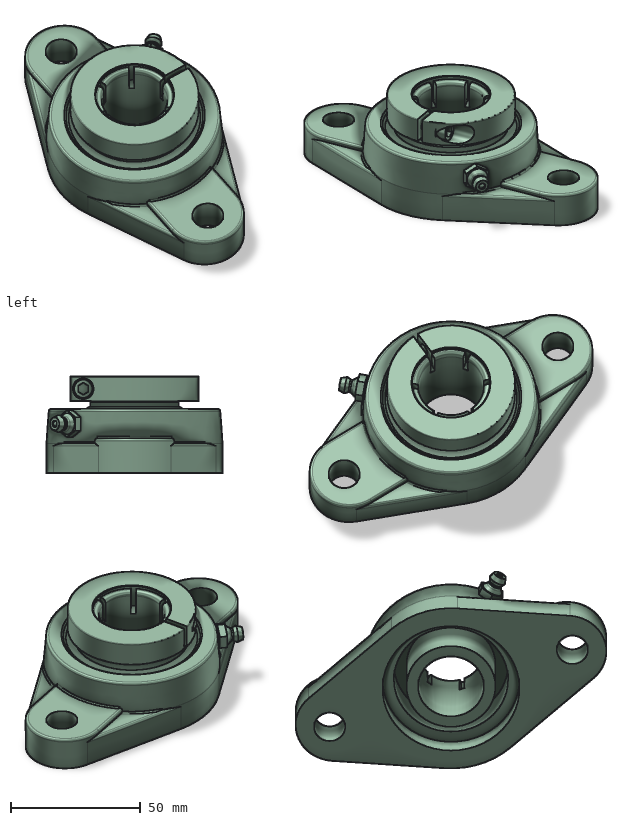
import cadquery as cq
import math

LENGTH = 125.0
HUB_R = 34.0
HUB_TOP_R = 33.0
HUB_TOP_Z = 24.8
LUG_R = 15.2
LUG_X = LENGTH / 2 - LUG_R
PAD_Z = 13.5
WEB_Z = 11.5
BOLT_X = 49.5
BOLT_D = 12.0
CAST_ROUND = 1.0
ROOT_ROUND = 0.8
MOUTH_CHAMFER = 0.8

SEAT_R = 55.1 / 2
BEARING_Z = 16.0
RING_HALF_WIDTH = 8.0
RING_FACE_R = 25.4
RING_FACE_DEPTH = 0.8
RING_BORE_R = 44.0 / 2
BORE_R = 25.4 / 2
SHOULDER_R = 34.2 / 2
SHOULDER_CHAMFER = 0.5
SLEEVE_R = 15.0
INNER_BOTTOM_Z = 1.8
INNER_TOP_Z = 35.9
BORE_ROUND = 1.8
SEAL_THICKNESS = 1.2
SHIELD_R = 20.8
SHIELD_Z = 24.9
LIP_R = 18.5
LIP_TOP_R = 17.4
LIP_TOP_Z = 25.6

SLOT_COUNT = 6
SLOT_WIDTH = 2.0
SLOT_FLOOR_Z = 25.6
SLOT_END_R = 15.8

COLLAR_R = 49.4 / 2
COLLAR_BOTTOM_Z = 27.8
COLLAR_TOP_Z = 37.2
COLLAR_ROUND = 0.2
COLLAR_BORE_CHAMFER = 0.2
SCREW_Y = 19.8
SCREW_Z = (COLLAR_BOTTOM_Z + COLLAR_TOP_Z) / 2
HEAD_D = 7.0
HEAD_LENGTH = 4.0
HEAD_X = -10.2
COUNTERBORE_D = 8.0
SHANK_D = 4.0
SHANK_LENGTH = 16.0
SOCKET_FLATS = 4.0
SOCKET_DEPTH = 2.0

NIPPLE_Z = 19.0
NIPPLE_ANGLE = 135.0
STEM_R = 3.0
STEM_START = 29.4
HEX_FLATS = 9.0
HEX_START = 33.8
HEX_END = 36.8
CONE_R = 4.1
CONE_END_R = 3.0
CONE_END = 38.2
NECK_R = 2.5
NECK_START = 39.0
NECK_END = 39.8
BULB_R = 3.2
BULB_AT = 41.2
TIP_R = 2.5
TIP_END = 43.5
BALL_R = 1.2
BALL_AT = 42.5


def sphere_r(z):
    """Radius of the spherical seat at height z."""
    return math.sqrt(SEAT_R ** 2 - (z - BEARING_Z) ** 2)


def revolved(points):
    """Solid of revolution about Z from (radius, z) points."""
    return cq.Workplane("XZ").polyline(points).close().revolve(360, (0, 0, 0), (0, 1, 0))


def web_outline():
    """Outline whose sloping edges are common tangents of the hub and lug circles."""
    sine = (HUB_R - LUG_R) / LUG_X
    cosine = math.sqrt(1 - sine ** 2)
    hub_x = HUB_R * sine
    hub_y = HUB_R * cosine
    lug_x = LUG_X + LUG_R * sine
    lug_y = LUG_R * cosine
    return (
        cq.Workplane("XY")
        .polyline([
            (-lug_x, lug_y), (-hub_x, hub_y), (hub_x, hub_y), (lug_x, lug_y),
            (lug_x, -lug_y), (hub_x, -hub_y), (-hub_x, -hub_y), (-lug_x, -lug_y),
        ])
        .close()
    )


def web():
    plate = web_outline().extrude(WEB_Z)
    sloping_edges = plate.faces(">Z").edges("not(|X or |Y)")
    return sloping_edges.fillet(CAST_ROUND)


def pads():
    """Raised strip with round ends that carries both bolt holes."""
    strip = cq.Workplane("XY").slot2D(LENGTH, 2 * LUG_R).extrude(PAD_Z)
    return strip.faces(">Z").edges().fillet(CAST_ROUND)


def hub():
    body = revolved([(0, 0), (HUB_R, 0), (HUB_R, WEB_Z), (HUB_TOP_R, HUB_TOP_Z), (0, HUB_TOP_Z)])
    return body.faces(">Z").edges().fillet(CAST_ROUND)


def hub_radius(z):
    """Radius of the tapered hub at height z."""
    return HUB_R - (HUB_R - HUB_TOP_R) * (z - WEB_Z) / (HUB_TOP_Z - WEB_Z)


def hub_root(z):
    """Concave fillet ring around the hub, standing on a face at height z."""
    foot_r = hub_radius(z) + ROOT_ROUND
    top_z = z + ROOT_ROUND
    inner_r = HUB_TOP_R - ROOT_ROUND
    return (
        cq.Workplane("XZ")
        .moveTo(inner_r, z - ROOT_ROUND)
        .lineTo(foot_r, z - ROOT_ROUND)
        .lineTo(foot_r, z)
        .radiusArc((hub_radius(top_z), top_z), ROOT_ROUND)
        .lineTo(inner_r, top_z)
        .close()
        .revolve(360, (0, 0, 0), (0, 1, 0))
    )


def make_housing():
    web_top = web_outline().offset2D(-CAST_ROUND).extrude(HUB_TOP_Z)
    pad_top = cq.Workplane("XY").rect(LENGTH, 2 * (LUG_R - CAST_ROUND)).extrude(HUB_TOP_Z)
    body = hub().union(pads()).union(web())
    body = body.union(hub_root(WEB_Z).intersect(web_top))
    body = body.union(hub_root(PAD_Z).intersect(pad_top))
    bolt_holes = (
        cq.Workplane("XY")
        .pushPoints([(-BOLT_X, 0), (BOLT_X, 0)])
        .circle(BOLT_D / 2)
        .extrude(PAD_Z)
    )
    mouth_z = HUB_TOP_Z - MOUTH_CHAMFER
    mouth_r = sphere_r(mouth_z)
    seat_bottom_z = BEARING_Z - RING_HALF_WIDTH
    bore_r = sphere_r(seat_bottom_z)
    bore = (
        cq.Workplane("XZ")
        .lineTo(bore_r, 0)
        .lineTo(bore_r, seat_bottom_z)
        .threePointArc((SEAT_R, BEARING_Z), (mouth_r, mouth_z))
        .lineTo(mouth_r + MOUTH_CHAMFER, HUB_TOP_Z)
        .lineTo(0, HUB_TOP_Z)
        .close()
        .revolve(360, (0, 0, 0), (0, 1, 0))
    )
    stem_length = HEX_END - STEM_START
    stem_hole = radial(cq.Workplane("XY", origin=(0, 0, STEM_START)).circle(STEM_R).extrude(stem_length))
    return body.cut(bolt_holes).cut(bore).cut(stem_hole)


def make_outer_ring():
    top_z = BEARING_Z + RING_HALF_WIDTH
    bottom_z = BEARING_Z - RING_HALF_WIDTH
    return (
        cq.Workplane("XZ")
        .moveTo(RING_BORE_R, bottom_z)
        .lineTo(sphere_r(bottom_z), bottom_z)
        .threePointArc((SEAT_R, BEARING_Z), (sphere_r(top_z), top_z))
        .lineTo(RING_FACE_R, top_z - RING_FACE_DEPTH)
        .lineTo(RING_BORE_R, top_z - RING_FACE_DEPTH)
        .close()
        .revolve(360, (0, 0, 0), (0, 1, 0))
    )


def make_seal():
    """Disc closing the gap between the rings, with a lip on the shoulder."""
    top_z = BEARING_Z + RING_HALF_WIDTH - RING_FACE_DEPTH
    return revolved([
        (SHOULDER_R, top_z - SEAL_THICKNESS),
        (RING_BORE_R, top_z - SEAL_THICKNESS),
        (RING_BORE_R, top_z),
        (SHIELD_R, SHIELD_Z),
        (LIP_R, SHIELD_Z),
        (LIP_TOP_R, LIP_TOP_Z),
        (SHOULDER_R, LIP_TOP_Z),
    ])


def slot_cutter(angle):
    """Radial saw cut whose floor rises outwards from the bore."""
    slope = (COLLAR_BOTTOM_Z - SLOT_FLOOR_Z) / (SLOT_END_R - BORE_R)
    inner_r = BORE_R / 2
    inner_z = SLOT_FLOOR_Z - slope * (BORE_R - inner_r)
    outer_z = SLOT_FLOOR_Z + slope * (SHOULDER_R - BORE_R)
    return (
        cq.Workplane("XZ")
        .polyline([
            (inner_r, inner_z),
            (SHOULDER_R, outer_z),
            (SHOULDER_R, COLLAR_TOP_Z),
            (inner_r, COLLAR_TOP_Z),
        ])
        .close()
        .extrude(SLOT_WIDTH / 2, both=True)
        .rotate((0, 0, 0), (0, 0, 1), angle)
    )


def make_inner_ring():
    ring = (
        cq.Workplane("XZ")
        .moveTo(BORE_R, INNER_BOTTOM_Z)
        .lineTo(SHOULDER_R, INNER_BOTTOM_Z)
        .lineTo(SHOULDER_R, COLLAR_BOTTOM_Z - SHOULDER_CHAMFER)
        .lineTo(SHOULDER_R - SHOULDER_CHAMFER, COLLAR_BOTTOM_Z)
        .lineTo(SLEEVE_R, COLLAR_BOTTOM_Z)
        .lineTo(SLEEVE_R, INNER_TOP_Z)
        .lineTo(BORE_R + BORE_ROUND, INNER_TOP_Z)
        .radiusArc((BORE_R, INNER_TOP_Z - BORE_ROUND), -BORE_ROUND)
        .close()
        .revolve(360, (0, 0, 0), (0, 1, 0))
    )
    for index in range(SLOT_COUNT):
        ring = ring.cut(slot_cutter(90 + index * 360 / SLOT_COUNT))
    return ring


def screw_cylinder(diameter, start_x, length):
    """Cylinder along +X on the screw axis."""
    return (
        cq.Workplane("YZ", origin=(start_x, SCREW_Y, SCREW_Z))
        .circle(diameter / 2)
        .extrude(length)
    )


def make_collar():
    height = COLLAR_TOP_Z - COLLAR_BOTTOM_Z
    base = cq.Workplane("XY", origin=(0, 0, COLLAR_BOTTOM_Z))
    collar = base.circle(COLLAR_R).extrude(height).faces(">Z").edges().fillet(COLLAR_ROUND)
    bore = cq.Workplane("XY", origin=(0, 0, COLLAR_BOTTOM_Z)).circle(SLEEVE_R).extrude(height)
    collar = collar.cut(bore)
    bore_edge = collar.faces(">Z").edges("%CIRCLE").edges(cq.selectors.RadiusNthSelector(0))
    collar = bore_edge.chamfer(COLLAR_BORE_CHAMFER)
    gap = (
        cq.Workplane("XY", origin=(0, COLLAR_R / 2, COLLAR_BOTTOM_Z))
        .rect(SLOT_WIDTH, COLLAR_R)
        .extrude(height)
    )
    seat_x = HEAD_X + HEAD_LENGTH
    counterbore = screw_cylinder(COUNTERBORE_D, -COLLAR_R, seat_x + COLLAR_R)
    return collar.cut(gap).cut(counterbore).cut(screw_cylinder(SHANK_D, seat_x, SHANK_LENGTH))


def make_screw():
    head = screw_cylinder(HEAD_D, HEAD_X, HEAD_LENGTH)
    shank = screw_cylinder(SHANK_D, HEAD_X + HEAD_LENGTH, SHANK_LENGTH)
    socket = (
        cq.Workplane("YZ", origin=(HEAD_X, SCREW_Y, SCREW_Z))
        .transformed(rotate=(0, 0, 90))
        .polygon(6, SOCKET_FLATS / math.cos(math.pi / 6))
        .extrude(SOCKET_DEPTH)
    )
    return head.union(shank).cut(socket)


def radial(body):
    """Lays a body built along +Z onto the radial nipple axis."""
    return (
        body.rotate((0, 0, 0), (0, 1, 0), 90)
        .rotate((0, 0, 0), (0, 0, 1), NIPPLE_ANGLE)
        .translate((0, 0, NIPPLE_Z))
    )


def ball():
    return cq.Workplane("XY").sphere(BALL_R).translate((0, 0, BALL_AT))


def make_nipple():
    stem = cq.Workplane("XY", origin=(0, 0, STEM_START)).circle(STEM_R).extrude(HEX_END - STEM_START)
    hexagon = (
        cq.Workplane("XY", origin=(0, 0, HEX_START))
        .polygon(6, HEX_FLATS / math.cos(math.pi / 6))
        .extrude(HEX_END - HEX_START)
    )
    head = revolved([
        (0, HEX_END),
        (CONE_R, HEX_END),
        (CONE_END_R, CONE_END),
        (NECK_R, NECK_START),
        (NECK_R, NECK_END),
        (BULB_R, BULB_AT),
        (TIP_R, TIP_END),
        (0, TIP_END),
    ])
    ball_hole = cq.Workplane("XY", origin=(0, 0, BALL_AT)).circle(BALL_R).extrude(TIP_END - BALL_AT)
    return radial(stem.union(hexagon).union(head).cut(ball_hole).cut(ball()))


def make_ball():
    return radial(ball())


housing = make_housing()
outer_ring = make_outer_ring()
inner_ring = make_inner_ring()
seal = make_seal()
collar = make_collar()
screw = make_screw()
nipple = make_nipple()
nipple_ball = make_ball()

result = cq.Compound.makeCompound([
    housing.val(),
    outer_ring.val(),
    inner_ring.val(),
    seal.val(),
    collar.val(),
    screw.val(),
    nipple.val(),
    nipple_ball.val(),
])